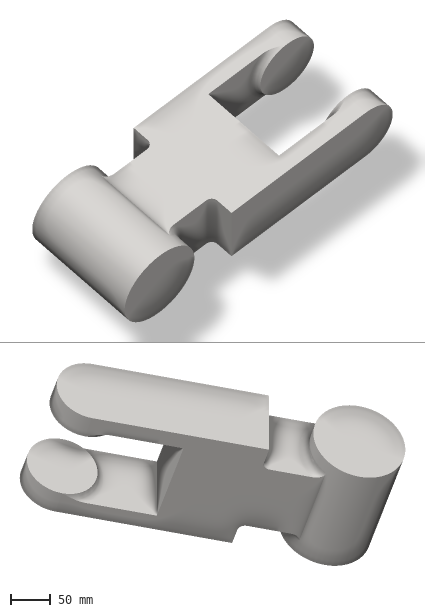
import cadquery as cq

total_length = 457.0
body_width = 182.0
body_thickness = 92.5
barrel_diameter = 120.0
barrel_width = 172.0

slot_width = 131.0
slot_floor_y = 224.5
ear_gap = 111.0
neck_width = 109.5
shoulder_y = 119.5
neck_fillet = 10.0

barrel_radius = barrel_diameter / 2
ear_radius = body_thickness / 2
ear_axis_y = total_length - barrel_radius - ear_radius
pad_height = (slot_width - ear_gap) / 2
body_length = ear_axis_y - shoulder_y


def x_cylinder(radius, width, axis_y):
    """Cylinder along X, centred on X = 0, with its axis at the given Y."""
    return cq.Workplane("YZ").center(axis_y, 0).circle(radius).extrude(width / 2, both=True)


def flared_disc(radius, flare, base_x, axis_y, direction):
    """Disc about an X-parallel axis with a concave quarter-round flare.

    It is widest at base_x and narrows to radius one flare further along direction.
    """
    tip_x = base_x + direction * flare
    arc_middle = flare * (1 - 0.5 ** 0.5)
    return (
        cq.Workplane("XY")
        .moveTo(base_x, axis_y)
        .lineTo(base_x, axis_y + radius + flare)
        .threePointArc(
            (base_x + direction * arc_middle, axis_y + radius + arc_middle),
            (tip_x, axis_y + radius),
        )
        .lineTo(tip_x, axis_y)
        .close()
        .revolve(360, (0, axis_y, 0), (1, axis_y, 0))
    )


def make_neck():
    """Narrow bar from the barrel axis to the shoulder of the body."""
    return cq.Workplane("XY").box(
        neck_width, shoulder_y, body_thickness, centered=(True, False, True)
    )


def make_body():
    """Wide body with round ear ends, on the neck with filleted inside corners."""
    body = (
        cq.Workplane("XY")
        .box(body_width, body_length, body_thickness, centered=(True, False, True))
        .translate((0, shoulder_y, 0))
    )
    corner_half_width = neck_width / 2
    corners = cq.selectors.BoxSelector(
        (-corner_half_width - neck_fillet, shoulder_y - neck_fillet, -body_thickness),
        (corner_half_width + neck_fillet, shoulder_y + neck_fillet, body_thickness),
    )
    block = body.union(make_neck()).edges("|Z").edges(corners).fillet(neck_fillet)
    return block.union(x_cylinder(ear_radius, body_width, ear_axis_y))


body = make_body()

envelope = (
    cq.Workplane("XY")
    .box(body_width, ear_axis_y, body_thickness, centered=(True, False, True))
    .union(x_cylinder(ear_radius, body_width, ear_axis_y))
)

slot = (
    cq.Workplane("XY")
    .box(slot_width, total_length, body_thickness, centered=(True, False, True))
    .translate((0, slot_floor_y, 0))
)
result = body.cut(slot).union(x_cylinder(barrel_radius, barrel_width, 0))

for side in (-1, 1):
    pad = flared_disc(ear_radius, pad_height, side * slot_width / 2, ear_axis_y, -side)
    barrel_flare = flared_disc(barrel_radius, neck_fillet, side * neck_width / 2, 0, side)
    result = result.union(pad.intersect(envelope))
    result = result.union(barrel_flare.intersect(envelope))